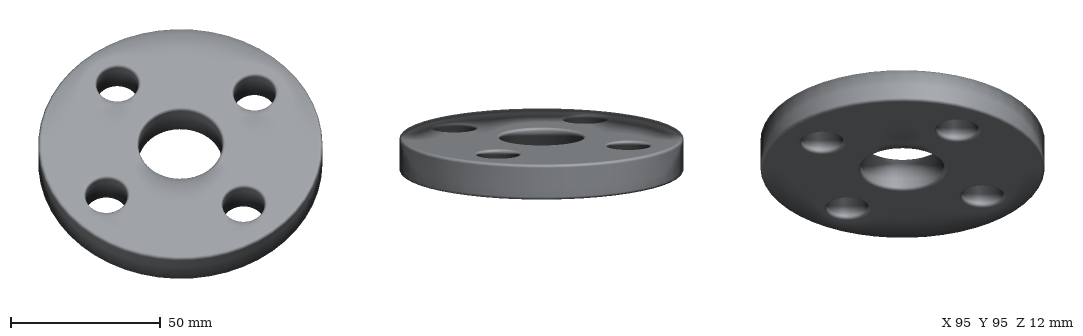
import cadquery as cq

disc_diameter = 95.0
thickness = 12.0

bore_diameter = 28.0
bore_mouth_diameter = 30.0
bolt_hole_diameter = 14.0
bolt_circle_diameter = 65.0
bolt_count = 4

edge_radius = (bore_mouth_diameter - bore_diameter) / 2

flange = (
    cq.Workplane("XY")
    .circle(disc_diameter / 2)
    .extrude(thickness)
)

bore = (
    cq.Workplane("XY")
    .circle(bore_diameter / 2)
    .extrude(thickness)
)

bolt_holes = (
    cq.Workplane("XY")
    .polarArray(bolt_circle_diameter / 2, 0, 360, bolt_count)
    .circle(bolt_hole_diameter / 2)
    .extrude(thickness)
)

drilled_flange = flange.cut(bore).cut(bolt_holes)

result = drilled_flange.faces("<Z or >Z").edges().fillet(edge_radius)